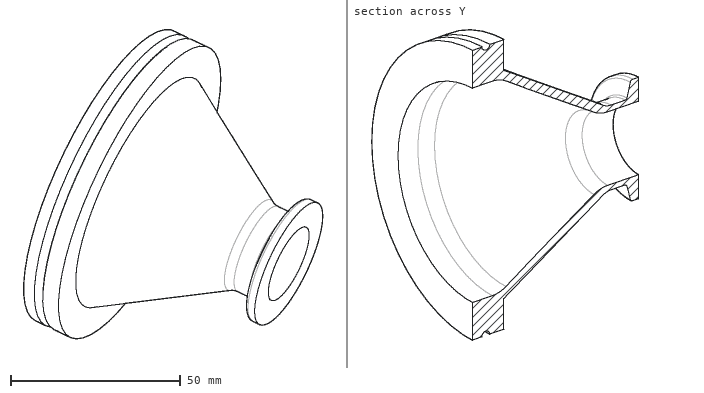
import cadquery as cq
import math

length = 63.0

flange_radius = 47.5
flange_thickness = 12.0
groove_center = 5.1
groove_radius = 1.4

cone_base_radius = 37.4
cone_angle = math.radians(31.2)
large_bore_radius = 35.1
large_bore_depth = 7.5
small_bore_radius = 12.0
bore_bend_radius = 10.0

neck_radius = 14.0
neck_start = 52.4
neck_end = 57.9
neck_bend_radius = 5.5
lip_radius = 19.95
lip_rim_width = 2.3
lip_angle = math.radians(15)
lip_edge_radius = 0.95


def bend_point(x, radius, bend_radius, angle):
    """Point on a bend, turned by angle from the axial tangent at (x, radius)."""
    return (
        x + bend_radius * math.sin(angle),
        radius + bend_radius * (1 - math.cos(angle)),
    )


def revolve_about_x(profile):
    return profile.close().revolve(360, (0, 0, 0), (1, 0, 0))


def outer_body():
    cone_end = bend_point(neck_start, neck_radius, neck_bend_radius, -cone_angle)
    bend_middle = bend_point(neck_start, neck_radius, neck_bend_radius, -cone_angle / 2)

    edge_x = length - lip_rim_width
    edge_start = bend_point(edge_x, lip_radius, -lip_edge_radius, math.pi / 2 - lip_angle)
    edge_middle = bend_point(edge_x, lip_radius, -lip_edge_radius, math.pi / 4 - lip_angle / 2)
    lip_foot_x = edge_start[0] - (edge_start[1] - neck_radius) * math.tan(lip_angle)
    foot_bend_angle = math.pi / 2 - lip_angle
    foot_tangent = lip_foot_x - neck_end
    foot_bend_radius = foot_tangent / math.tan(foot_bend_angle / 2)
    foot_middle = bend_point(neck_end, neck_radius, foot_bend_radius, foot_bend_angle / 2)
    foot_end = bend_point(neck_end, neck_radius, foot_bend_radius, foot_bend_angle)

    profile = (
        cq.Workplane("XY")
        .moveTo(0, 0)
        .lineTo(0, flange_radius)
        .lineTo(flange_thickness, flange_radius)
        .lineTo(flange_thickness, cone_base_radius)
        .lineTo(*cone_end)
        .threePointArc(bend_middle, (neck_start, neck_radius))
        .lineTo(neck_end, neck_radius)
        .threePointArc(foot_middle, foot_end)
        .lineTo(*edge_start)
        .threePointArc(edge_middle, (edge_x, lip_radius))
        .lineTo(length, lip_radius)
        .lineTo(length, 0)
    )
    return revolve_about_x(profile)


def tapered_bore():
    large_middle = bend_point(large_bore_depth, large_bore_radius, -bore_bend_radius, -cone_angle / 2)
    large_end = bend_point(large_bore_depth, large_bore_radius, -bore_bend_radius, -cone_angle)

    bend_drop = bore_bend_radius * (1 - math.cos(cone_angle))
    taper_drop = large_end[1] - small_bore_radius - bend_drop
    taper_end_x = large_end[0] + taper_drop / math.tan(cone_angle)
    small_bore_start = taper_end_x + bore_bend_radius * math.sin(cone_angle)
    small_middle = bend_point(small_bore_start, small_bore_radius, bore_bend_radius, -cone_angle / 2)

    profile = (
        cq.Workplane("XY")
        .moveTo(0, 0)
        .lineTo(0, large_bore_radius)
        .lineTo(large_bore_depth, large_bore_radius)
        .threePointArc(large_middle, large_end)
        .lineTo(taper_end_x, small_bore_radius + bend_drop)
        .threePointArc(small_middle, (small_bore_start, small_bore_radius))
        .lineTo(length, small_bore_radius)
        .lineTo(length, 0)
    )
    return revolve_about_x(profile)


def rim_groove():
    return cq.Workplane("XY").add(
        cq.Solid.makeTorus(flange_radius, groove_radius, cq.Vector(groove_center, 0, 0), cq.Vector(1, 0, 0))
    )


result = outer_body().cut(tapered_bore()).cut(rim_groove())